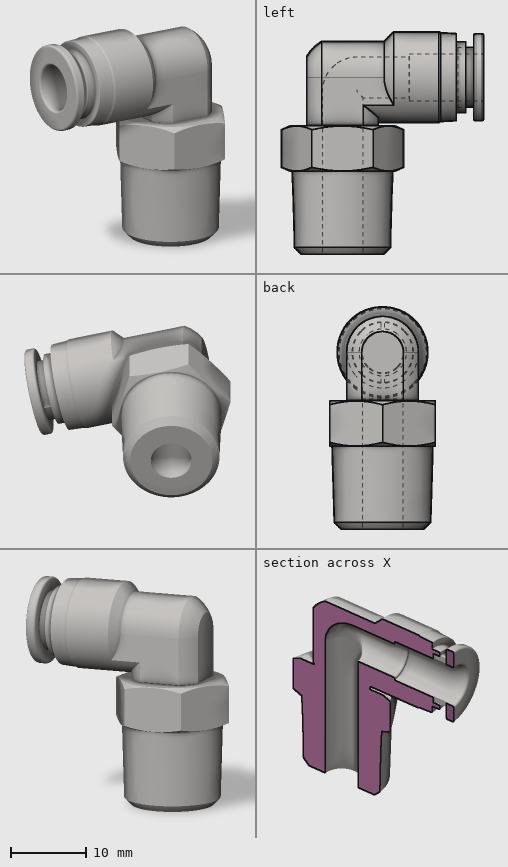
import cadquery as cq
import math


stud_top_z = 11.0
stud_top_radius = 6.7
stud_tip_radius = 6.4
stud_tip_chamfer = 0.95

hex_width = 14.0
hex_height = 6.05
hex_flat_radius = 6.9
hex_corner_drop = 0.53
hex_corner_radius = hex_width / 2 / math.cos(math.radians(30))
hex_top_z = stud_top_z + hex_height

overall_height = 29.5
ring_radius = 6.02
elbow_half_width = 4.75
elbow_corner_radius = 5.5
foot_chamfer_height = 0.25
foot_chamfer_inset = 0.1
socket_axis_z = overall_height - ring_radius

ring_start = 6.78
ring_end = 12.75
ring_chamfer = ring_radius - elbow_half_width
sleeve_start = 13.0
sleeve_end = 15.1
sleeve_start_radius = 5.9
sleeve_end_radius = 5.78
collar_end = 16.35
collar_radius = 4.72
collar_fillet = 0.1
collar_mouth_chamfer = 0.1

overall_length = 26.8
flange_front = overall_length - hex_corner_radius
flange_thickness = 1.33
flange_back = flange_front - flange_thickness
flange_radius = 5.78
flange_fillet = 0.3
collet_radius = 3.98
collet_bore_radius = 3.13
collet_inner_end = 15.25
slot_width = 0.4

passage_radius = 2.7
bend_radius = 1.9
tube_stop = 8.85
tube_stop_chamfer = 0.1


def along_socket(radius, start, end):
    """Cylinder on the socket axis between two distances from the stud axis."""
    plane = cq.Workplane("XZ", origin=(0, -start, socket_axis_z))
    return plane.circle(radius).extrude(end - start)


def turned_on_socket(profile):
    """Solid of revolution about the socket axis from (distance, radius) points."""
    points = [(-distance, socket_axis_z + radius) for distance, radius in profile]
    outline = cq.Workplane("YZ").polyline(points).close()
    return outline.revolve(360, (0, socket_axis_z), (1, socket_axis_z))


def make_stud():
    """Tapered stud with a chamfered tip."""
    tip_end_radius = stud_tip_radius - stud_tip_chamfer
    profile = [
        (0, 0),
        (tip_end_radius, 0),
        (stud_tip_radius, stud_tip_chamfer),
        (stud_top_radius, stud_top_z),
        (0, stud_top_z),
    ]
    return cq.Workplane("XZ").polyline(profile).close().revolve(360, (0, 0), (0, 1))


def make_hexagon():
    """Hexagon with its corners chamfered at both ends."""
    prism = (
        cq.Workplane("XY", origin=(0, 0, stud_top_z))
        .polygon(6, 2 * hex_corner_radius)
        .extrude(hex_height)
        .rotate((0, 0, 0), (0, 0, 1), 30)
    )
    envelope = (
        cq.Workplane("XZ")
        .polyline([
            (0, stud_top_z),
            (hex_flat_radius, stud_top_z),
            (hex_corner_radius, stud_top_z + hex_corner_drop),
            (hex_corner_radius, hex_top_z - hex_corner_drop),
            (hex_flat_radius, hex_top_z),
            (0, hex_top_z),
        ])
        .close()
        .revolve(360, (0, 0), (0, 1))
    )
    return prism.intersect(envelope)


def make_column():
    """Square upright with rounded corners and a chamfered foot."""
    height = socket_axis_z - hex_top_z
    upright = (
        cq.Workplane("XY", origin=(0, 0, hex_top_z))
        .rect(2 * elbow_half_width, 2 * elbow_half_width)
        .extrude(height)
    )
    rounding = (
        cq.Workplane("XY", origin=(0, 0, hex_top_z))
        .circle(elbow_corner_radius)
        .extrude(height)
    )
    column = upright.intersect(rounding)
    return column.faces("<Z").chamfer(foot_chamfer_height, foot_chamfer_inset)


def make_arm():
    """Round top with a spherical closed end, over straight sides trimmed to the ring's radius."""
    end_radius = math.sqrt(elbow_corner_radius ** 2 - elbow_half_width ** 2)
    mid_arc = elbow_corner_radius * math.sqrt(0.5)
    round_top = (
        cq.Workplane("YZ", origin=(0, 0, socket_axis_z))
        .moveTo(-ring_start, 0)
        .lineTo(-ring_start, elbow_half_width)
        .lineTo(end_radius, elbow_half_width)
        .threePointArc((mid_arc, mid_arc), (elbow_half_width, end_radius))
        .lineTo(elbow_half_width, 0)
        .close()
        .revolve(360, (0, 0), (1, 0))
    )
    sides = (
        cq.Workplane("XY", origin=(0, -ring_start / 2, socket_axis_z - ring_radius))
        .rect(2 * elbow_half_width, ring_start)
        .extrude(ring_radius)
        .intersect(along_socket(ring_radius, 0, ring_start))
    )
    return round_top.union(sides)


def make_socket_rings():
    """Outer ring, tapered sleeve and collar at the open end of the socket."""
    rings = turned_on_socket([
        (ring_start - ring_chamfer, 0),
        (ring_start - ring_chamfer, elbow_half_width),
        (ring_start, ring_radius),
        (ring_end, ring_radius),
        (sleeve_start, sleeve_start_radius),
        (sleeve_end, sleeve_end_radius),
        (sleeve_end, 0),
    ])
    rings = rings.faces("<Y").edges().fillet(collar_fillet)
    collar = along_socket(collar_radius, sleeve_end, collar_end)
    collar = collar.faces("<Y").edges().fillet(collar_fillet)
    return rings.union(collar)


def make_flow_passage():
    """Bent bore from the tube stop, through the elbow and out of the stud's tip."""
    riser = cq.Workplane("XY").circle(passage_radius).extrude(socket_axis_z - bend_radius)
    inlet = along_socket(passage_radius, bend_radius, tube_stop)
    half_chord = math.sqrt(passage_radius ** 2 - bend_radius ** 2)
    bend = (
        cq.Workplane("XY", origin=(0, 0, socket_axis_z - bend_radius))
        .moveTo(-half_chord, -bend_radius)
        .threePointArc((0, passage_radius), (half_chord, -bend_radius))
        .close()
        .revolve(90, (0, -bend_radius), (1, -bend_radius))
    )
    return riser.union(inlet).union(bend)


def make_socket_bore():
    """Tube bore ending at the tube stop, with the collet's seat and flared mouth in front of it."""
    return turned_on_socket([
        (tube_stop - tube_stop_chamfer, 0),
        (tube_stop - tube_stop_chamfer, passage_radius),
        (tube_stop, passage_radius + tube_stop_chamfer),
        (tube_stop, collet_bore_radius),
        (collet_inner_end, collet_bore_radius),
        (collet_inner_end, collet_radius),
        (collar_end - collar_mouth_chamfer, collet_radius),
        (collar_end, collet_radius + collar_mouth_chamfer),
        (collar_end, 0),
    ])


def make_fitting():
    """Stud, hexagon, elbow and socket as one hollow body."""
    solid = make_stud().union(make_hexagon()).union(make_column())
    solid = solid.union(make_arm()).union(make_socket_rings())
    return solid.cut(make_flow_passage()).cut(make_socket_bore())


def make_collet():
    """Flanged release collet, slotted through the top and bottom of its neck."""
    flange = along_socket(flange_radius, flange_back, flange_front).edges().fillet(flange_fillet)
    neck = along_socket(collet_radius, collet_inner_end, flange_back)
    bore = along_socket(collet_bore_radius, collet_inner_end, flange_front)
    solid = neck.union(flange).cut(bore)
    mouth = cq.selectors.RadiusNthSelector(0)
    solid = solid.faces("<Y").edges(mouth).fillet(flange_fillet)
    slot_length = flange_back - collet_inner_end
    slot_middle = (collet_inner_end + flange_back) / 2
    slot = (
        cq.Workplane("XY", origin=(0, -slot_middle, socket_axis_z))
        .box(slot_width, slot_length, 4 * collet_radius)
    )
    return solid.cut(slot)


fitting = make_fitting()
collet = make_collet()
result = cq.Compound.makeCompound([fitting.val(), collet.val()])